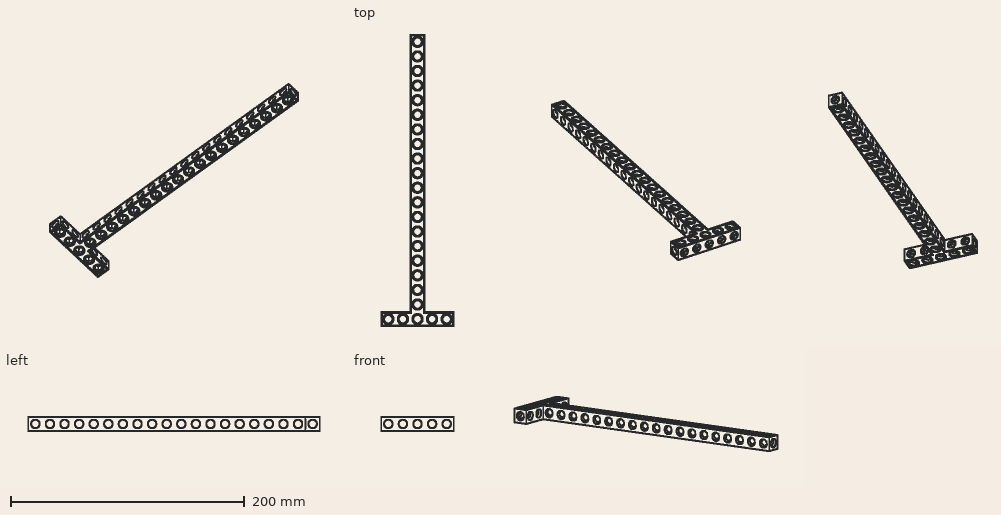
import cadquery as cq
pitch = 12.5
stem_cells = 20
crossbar_cells = 5
hole_diameter = 7.0
edge_chamfer = 0.3
rim_width = 0.8
pocket_depth = 0.2

stem_length = stem_cells * pitch
crossbar_length = crossbar_cells * pitch
rim_inset = edge_chamfer + rim_width
hole_radius = hole_diameter / 2
collar_radius = hole_radius + rim_inset
stem_centre_y = (stem_length - pitch) / 2

stem_ys = [i * pitch for i in range(stem_cells)]
crossbar_xs = [(i - (crossbar_cells - 1) / 2) * pitch for i in range(crossbar_cells)]
outer_xs = [x for x in crossbar_xs if x != 0]
vertical_centres = [(0, y, 0) for y in stem_ys] + [(x, 0, 0) for x in outer_xs]

along_x = cq.Vector(1, 0, 0)
along_y = cq.Vector(0, 1, 0)
along_z = cq.Vector(0, 0, 1)


def tee(inset, height):
    """T-shaped prism centred on Z = 0, its outline drawn in by `inset`."""
    crossbar = cq.Workplane("XY").box(crossbar_length - 2 * inset, pitch - 2 * inset, height)
    stem = (
        cq.Workplane("XY", origin=(0, stem_centre_y, 0))
        .box(pitch - 2 * inset, stem_length - 2 * inset, height)
    )
    return crossbar.union(stem).clean()


def tee_body():
    """T-shaped bar with chamfered top and bottom outlines."""
    return tee(0, pitch).faces("<Z or >Z").chamfer(edge_chamfer)


def hole_cutter(length):
    """Solid along Z, centred on the origin, for a through hole chamfered at both mouths."""
    mouth_radius = hole_radius + edge_chamfer
    end = length / 2
    half_profile = [
        (0, -end),
        (mouth_radius, -end),
        (hole_radius, -end + edge_chamfer),
        (hole_radius, end - edge_chamfer),
        (mouth_radius, end),
        (0, end),
    ]
    return cq.Workplane("XZ").polyline(half_profile).close().revolve(360, (0, 0), (0, 1)).val()


def cut_holes(body, direction, centres, length):
    """Cut chamfered through holes of the given length, each centred on a point, along `direction`."""
    for centre in centres:
        axis = cq.Plane(origin=centre, normal=direction)
        body = body.cut(cq.Workplane(hole_cutter(length).moved(cq.Location(axis))))
    return body


def cut_pockets(body):
    """Shallow pockets in the top and bottom faces, leaving a rim along the outline and around each hole."""
    collars = cq.Workplane("XY", origin=(0, 0, -pocket_depth / 2))
    collars = collars.pushPoints(vertical_centres)
    pocket = tee(rim_inset, pocket_depth).cut(collars.circle(collar_radius).extrude(pocket_depth))
    middle_height = (pitch - pocket_depth) / 2
    for height in (middle_height, -middle_height):
        body = body.cut(pocket.translate((0, 0, height)))
    return body


result = tee_body()
result = cut_pockets(result)
result = cut_holes(result, along_z, vertical_centres, pitch)

result = cut_holes(result, along_x, [(0, y, 0) for y in stem_ys[1:]], pitch)
result = cut_holes(result, along_x, [(0, 0, 0)], crossbar_length)

result = cut_holes(result, along_y, [(x, 0, 0) for x in outer_xs], pitch)
result = cut_holes(result, along_y, [(0, stem_centre_y, 0)], stem_length)

result = result.solids()